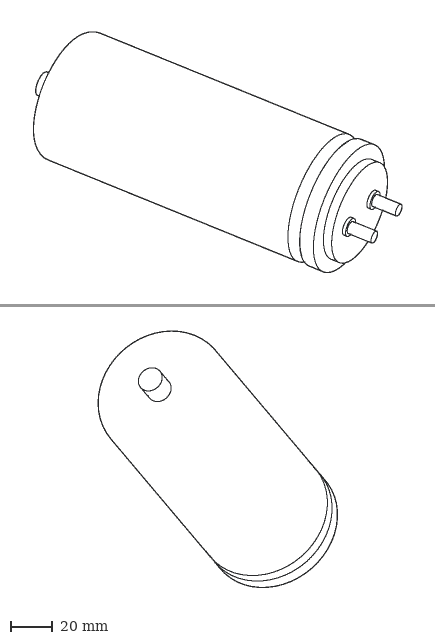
import cadquery as cq

total_length = 192.0
can_diameter = 65.5

stud_length = 12.5
stud_diameter = 12.0

bottom_round = 5.5
groove_start = 156.9
groove_width = 6.5
groove_depth = 2.3
can_end = 171.0

rim_slope_length = 1.3
lid_diameter = 51.5
lid_end = 177.0

terminal_spacing = 22.5
terminal_diameter = 6.1
collar_diameter = 9.2
collar_length = 1.7

can_radius = can_diameter / 2
lid_radius = lid_diameter / 2


def cylinder_along_x(start, end, diameter, y=0.0):
    """Solid cylinder parallel to X between two X positions."""
    return (
        cq.Workplane("YZ", origin=(start, y, 0))
        .circle(diameter / 2)
        .extrude(end - start)
    )


def can_with_lid():
    """Revolved can with rounded bottom, crimp groove, sloped rim and lid."""
    groove_end = groove_start + groove_width
    round_inset = bottom_round * (1 - 0.5 ** 0.5)
    half_profile = (
        cq.Workplane("XY")
        .moveTo(stud_length, 0)
        .lineTo(stud_length, can_radius - bottom_round)
        .threePointArc(
            (stud_length + round_inset, can_radius - round_inset),
            (stud_length + bottom_round, can_radius),
        )
        .lineTo(groove_start, can_radius)
        .threePointArc(
            (groove_start + groove_width / 2, can_radius - groove_depth),
            (groove_end, can_radius),
        )
        .lineTo(can_end, can_radius)
        .lineTo(can_end + rim_slope_length, lid_radius)
        .lineTo(lid_end, lid_radius)
        .lineTo(lid_end, 0)
        .close()
    )
    return half_profile.revolve(360, (0, 0, 0), (1, 0, 0))


def terminal(y):
    """Round pin standing on a wider collar."""
    collar = cylinder_along_x(lid_end, lid_end + collar_length, collar_diameter, y)
    pin = cylinder_along_x(lid_end, total_length, terminal_diameter, y)
    return collar.union(pin)


result = can_with_lid().union(cylinder_along_x(0, stud_length, stud_diameter))
for side in (-1, 1):
    result = result.union(terminal(side * terminal_spacing / 2))